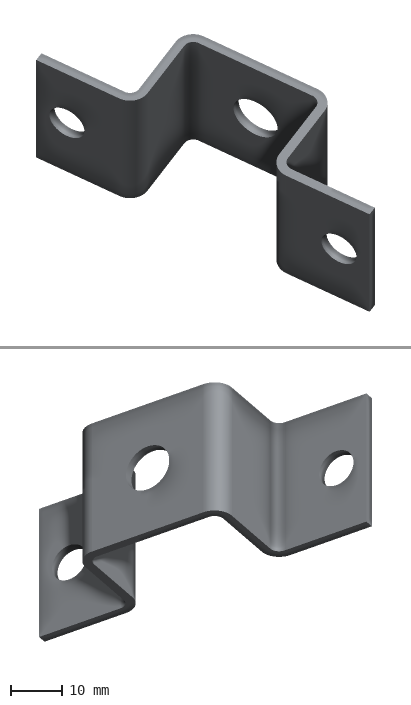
import cadquery as cq

length = 76.0
depth = 22.0
height = 30.0

thickness = 2.0
inner_bend_radius = 2.05
outer_bend_radius = inner_bend_radius + thickness

channel_width = 34.0
web_hole_diameter = 10.0
flange_hole_diameter = 8.0
flange_hole_spacing = 62.0

half_length = length / 2
outer_half_width = channel_width / 2
inner_half_width = outer_half_width - thickness
flange_front = -depth / 2
flange_back = flange_front + thickness
web_back = depth / 2
web_front = web_back - thickness


def make_sharp_bracket():
    """Hat profile with square corners, extruded along Z."""
    right_half = [
        (outer_half_width, web_back),
        (outer_half_width, flange_back),
        (half_length, flange_back),
        (half_length, flange_front),
        (inner_half_width, flange_front),
        (inner_half_width, web_front),
    ]
    left_half = [(-x, y) for x, y in reversed(right_half)]
    profile = cq.Workplane("XY").polyline(right_half + left_half).close()
    return profile.extrude(height / 2, both=True)


def round_corner_pair(body, x, y, radius):
    """Round the vertical edges at (x, y) and (-x, y)."""
    for side in (-1, 1):
        corner = cq.selectors.NearestToPointSelector((side * x, y, 0))
        body = body.edges("|Z").edges(corner).fillet(radius)
    return body


def make_hole_cutter(x, diameter):
    """Cylinder along Y, long enough to cross the whole part."""
    return (
        cq.Workplane("XZ")
        .center(x, 0)
        .circle(diameter / 2)
        .extrude(depth, both=True)
    )


bracket = make_sharp_bracket()

bracket = round_corner_pair(bracket, outer_half_width, web_back, outer_bend_radius)
bracket = round_corner_pair(bracket, inner_half_width, web_front, inner_bend_radius)

bracket = round_corner_pair(bracket, inner_half_width, flange_front, outer_bend_radius)
bracket = round_corner_pair(bracket, outer_half_width, flange_back, inner_bend_radius)

bracket = bracket.cut(make_hole_cutter(0, web_hole_diameter))
for flange_side in (-1, 1):
    hole_x = flange_side * flange_hole_spacing / 2
    bracket = bracket.cut(make_hole_cutter(hole_x, flange_hole_diameter))

result = bracket